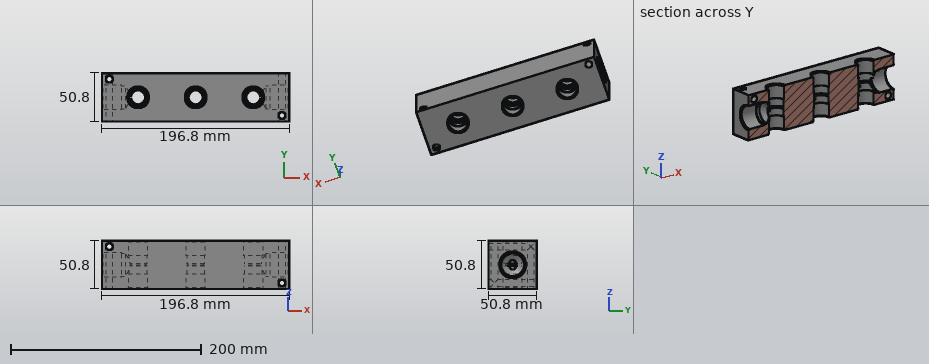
import cadquery as cq
import math

length = 196.8
side = 50.8

mount_diameter = 7.0
mount_x = 90.5
mount_offset = 19.0

drill_point_angle = 120.0
countersink_depth = 1.4

cross_spacing = 60.5
cross_drill_diameter = 18.7
cross_thread_diameter = 20.0
cross_thread_depth = 15.7
cross_mouth_diameter = 22.8
waist_diameter = 14.8

end_drill_diameter = 24.0
end_thread_diameter = 25.8
end_thread_depth = 20.7
end_mouth_diameter = 28.1
breakthrough = 3.0


def cone_height(radius):
    """Height of the drill point over a given radius."""
    return radius / math.tan(math.radians(drill_point_angle / 2))


def port_cutter(drill_diameter, thread_diameter, mouth_diameter, thread_depth, tip_depth):
    """Solid of one port: mouth at z = 0, drill tip at z = -tip_depth."""
    drill_radius = drill_diameter / 2
    thread_radius = thread_diameter / 2
    shoulder_depth = tip_depth - cone_height(drill_radius)
    return (
        cq.Workplane("XZ")
        .moveTo(0, 0)
        .lineTo(mouth_diameter / 2, 0)
        .lineTo(thread_radius, -countersink_depth)
        .lineTo(thread_radius, -thread_depth)
        .lineTo(drill_radius, -thread_depth)
        .lineTo(drill_radius, -shoulder_depth)
        .lineTo(0, -tip_depth)
        .close()
        .revolve(360, (0, 0, 0), (0, 1, 0))
    )


block = cq.Workplane("XY").box(length, side, side)

cross_tip_depth = side / 2 + cone_height(waist_diameter / 2)
upper_port = port_cutter(
    cross_drill_diameter, cross_thread_diameter, cross_mouth_diameter, cross_thread_depth, cross_tip_depth
).translate((0, 0, side / 2))
lower_port = upper_port.mirror("XY")
for x in (-cross_spacing, 0, cross_spacing):
    for port in (upper_port, lower_port):
        block = block.cut(port.translate((x, 0, 0)))

end_tip_depth = length / 2 - cross_spacing - cross_drill_diameter / 2 + breakthrough
right_port = (
    port_cutter(
        end_drill_diameter, end_thread_diameter, end_mouth_diameter, end_thread_depth, end_tip_depth
    )
    .rotate((0, 0, 0), (0, 1, 0), 90)
    .translate((length / 2, 0, 0))
)
block = block.cut(right_port).cut(right_port.mirror("YZ"))

mount_bar = cq.Workplane("XY").circle(mount_diameter / 2).extrude(side / 2, both=True)
for sign in (-1, 1):
    x = sign * mount_x
    offset = -sign * mount_offset
    vertical_hole = mount_bar.translate((x, offset, 0))
    horizontal_hole = mount_bar.rotate((0, 0, 0), (1, 0, 0), 90).translate((x, 0, offset))
    block = block.cut(vertical_hole).cut(horizontal_hole)

result = block